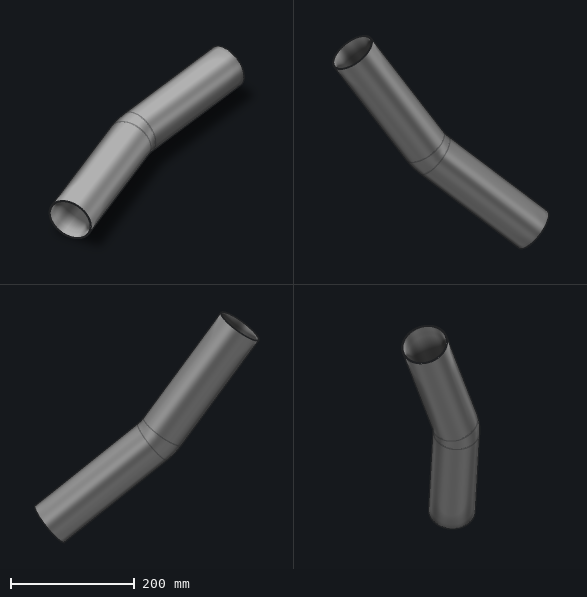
import cadquery as cq
import math

outer_diameter = 76.1
inner_diameter = 72.1
bend_angle = 15.0
bend_radius = 91.5
corner_to_end = 228.0

tangent_length = bend_radius * math.tan(math.radians(bend_angle / 2))
leg_length = corner_to_end - tangent_length


def tube_section():
    """Ring across the tube in the XZ plane, facing -Y, where the first leg meets the bend."""
    return cq.Workplane("XZ").circle(outer_diameter / 2).circle(inner_diameter / 2)


def straight_leg(direction):
    """Leg along Y from the origin: direction -1 runs toward +Y, +1 toward -Y."""
    return tube_section().extrude(direction * leg_length)


def bend():
    """Curved piece turning from -Y toward +X about a vertical axis at x = bend_radius."""
    return tube_section().revolve(bend_angle, (bend_radius, 0, 0), (bend_radius, 1, 0))


def second_leg():
    """Straight leg swung round the bend axis to follow on from the bend."""
    return straight_leg(1).rotate((bend_radius, 0, 0), (bend_radius, 0, 1), bend_angle)


result = straight_leg(-1).union(bend()).union(second_leg())